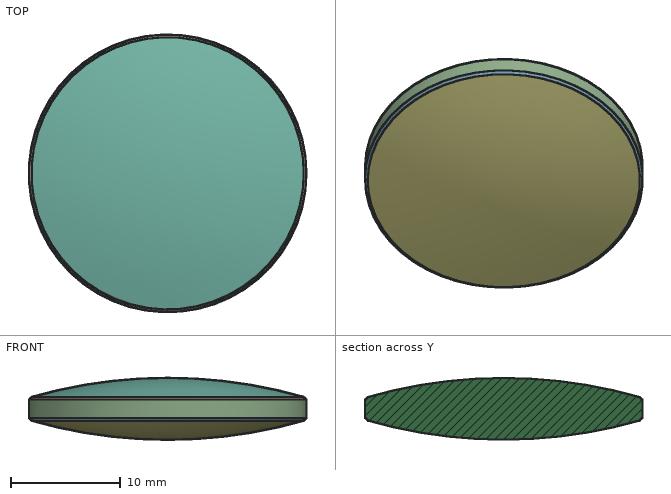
import cadquery as cq

diameter = 25.4
centre_thickness = 5.7
rim_thickness = 2.18
bevel = 0.25

rim_radius = diameter / 2
dome_radius = rim_radius - bevel
apex_z = centre_thickness / 2
dome_edge_z = rim_thickness / 2
rim_edge_z = dome_edge_z - bevel

dome_height = apex_z - dome_edge_z
sphere_radius = (dome_radius**2 + dome_height**2) / (2 * dome_height)

mid_radius = dome_radius / 2
mid_z = apex_z - sphere_radius + (sphere_radius**2 - mid_radius**2) ** 0.5

half_section = (
    cq.Workplane("XZ")
    .moveTo(0, -apex_z)
    .threePointArc((mid_radius, -mid_z), (dome_radius, -dome_edge_z))
    .lineTo(rim_radius, -rim_edge_z)
    .lineTo(rim_radius, rim_edge_z)
    .lineTo(dome_radius, dome_edge_z)
    .threePointArc((mid_radius, mid_z), (0, apex_z))
    .close()
)

result = half_section.revolve(360, (0, 0, 0), (0, 1, 0))